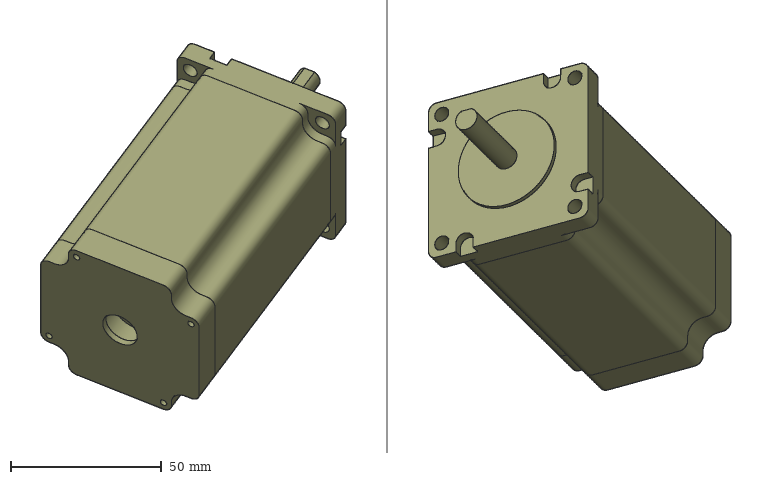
import cadquery as cq


side = 60.0
body_length = 101.6
shaft_reach = 29.9

front_cap_length = 10.7
rear_cap_length = 10.9
stator_length = body_length - front_cap_length - rear_cap_length
stator_front = -front_cap_length
rear_cap_front = stator_front - stator_length

flange_thickness = 7.1
flange_corner_radius = 3.0
mount_spacing = 50.0
mount_hole_diameter = 5.3
pilot_diameter = 36.0
pilot_height = 1.5

channel_radius = 5.5
channel_lip_radius = 3.2

shaft_diameter = 8.0
flat_length = 25.0
flat_depth = 0.49

screw_offset_along_side = 16.5
screw_offset_from_axis = 26.8
screw_hole_diameter = 2.4
notch_width = 6.5
notch_depth = 3.3

rear_opening_diameter = 13.0
rear_lip_thickness = 2.2
bearing_bore_diameter = 18.4

half_side = side / 2
mount_offset = mount_spacing / 2


def section(y):
    """Sketch plane across the motor axis at the given Y: local x is X, local y is Z, extruding towards -Y."""
    return cq.Workplane(cq.Plane(origin=(0, y, 0), xDir=(1, 0, 0), normal=(0, -1, 0)))


def quarter_turns(tool):
    """The tool and its three copies a quarter turn apart about the motor axis."""
    return [tool.rotate((0, 0, 0), (0, 1, 0), 90 * turn) for turn in range(4)]


def corner_channel(y_front, length):
    """Channel cut out of the (+X, +Z) corner, with its mouth rounded into both neighbouring sides."""
    wall = mount_offset - channel_radius
    lip_end = half_side - channel_lip_radius
    mouth_end = wall - channel_lip_radius
    lip_mid = channel_lip_radius * 0.5**0.5
    outline = (
        section(y_front)
        .moveTo(mouth_end, half_side)
        .threePointArc((mouth_end + lip_mid, lip_end + lip_mid), (wall, lip_end))
        .lineTo(wall, mount_offset)
        .radiusArc((mount_offset, wall), -channel_radius)
        .lineTo(lip_end, wall)
        .threePointArc((lip_end + lip_mid, mouth_end + lip_mid), (half_side, mouth_end))
        .lineTo(half_side, half_side)
        .close()
    )
    return outline.extrude(length)


def channelled_block(y_front, length):
    """Square block with a channel along each of its four corner edges."""
    block = section(y_front).rect(side, side).extrude(length)
    for channel in quarter_turns(corner_channel(y_front, length)):
        block = block.cut(channel)
    return block


def screw_notch():
    """Round-bottomed slot in the mounting face, open to the +Z side."""
    slot_height = half_side - screw_offset_from_axis
    round_end = (
        section(0)
        .center(-screw_offset_along_side, screw_offset_from_axis)
        .circle(notch_width / 2)
        .extrude(notch_depth)
    )
    open_end = (
        section(0)
        .center(-screw_offset_along_side, screw_offset_from_axis + slot_height / 2)
        .rect(notch_width, slot_height)
        .extrude(notch_depth)
    )
    return round_end.union(open_end)


def make_shaft():
    """Output shaft with a flat on its +Z side that runs to the tip."""
    shaft = section(shaft_reach).circle(shaft_diameter / 2).extrude(shaft_reach)
    flat = (
        section(shaft_reach)
        .center(0, shaft_diameter / 2 - flat_depth / 2)
        .rect(shaft_diameter, flat_depth)
        .extrude(flat_length)
    )
    return shaft.cut(flat)


def make_front_cap():
    """Mounting flange with its pilot, the output shaft and the neck that meets the stator."""
    flange = section(0).rect(side, side).extrude(flange_thickness).edges("|Y").fillet(flange_corner_radius)
    neck = channelled_block(-flange_thickness, front_cap_length - flange_thickness)
    pilot = section(pilot_height).circle(pilot_diameter / 2).extrude(pilot_height)
    mount_holes = (
        section(0)
        .rect(mount_spacing, mount_spacing, forConstruction=True)
        .vertices()
        .circle(mount_hole_diameter / 2)
        .extrude(flange_thickness)
    )
    cap = flange.union(neck).union(pilot).union(make_shaft()).cut(mount_holes)
    for notch in quarter_turns(screw_notch()):
        cap = cap.cut(notch)
    return cap


def make_rear_cap():
    """End cap with a lipped bearing bore and four case screw holes, all open to the stator."""
    cap = channelled_block(rear_cap_front, rear_cap_length)
    opening = section(rear_cap_front).circle(rear_opening_diameter / 2).extrude(rear_cap_length)
    bearing_bore = (
        section(rear_cap_front)
        .circle(bearing_bore_diameter / 2)
        .extrude(rear_cap_length - rear_lip_thickness)
    )
    cap = cap.cut(opening).cut(bearing_bore)
    screw_hole = (
        section(rear_cap_front)
        .center(-screw_offset_along_side, screw_offset_from_axis)
        .circle(screw_hole_diameter / 2)
        .extrude(rear_cap_length)
    )
    for hole in quarter_turns(screw_hole):
        cap = cap.cut(hole)
    return cap


front_cap = make_front_cap()
stator = channelled_block(stator_front, stator_length)
rear_cap = make_rear_cap()

result = cq.Compound.makeCompound([front_cap.val(), stator.val(), rear_cap.val()])